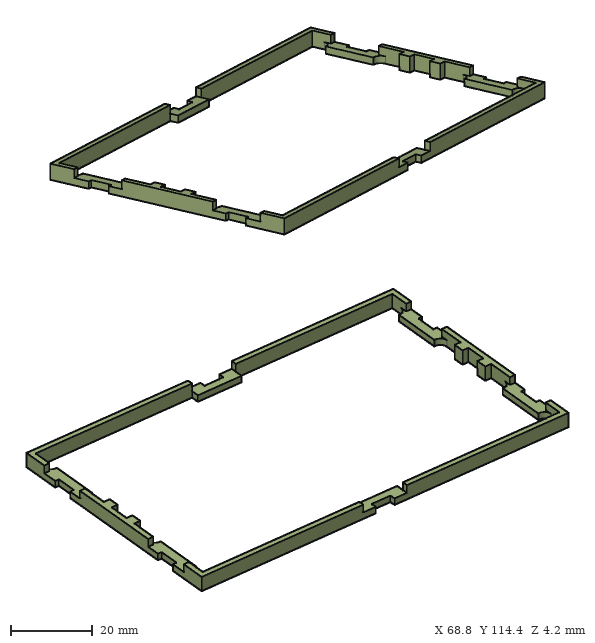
import cadquery as cq

length_x = 68.8
length_y = 114.4
height = 4.2
wall = 1.6

tab_height = 2.0
tab_depth = 3.9
end_tab_width = 14.0
end_tab_offset = 20.4
side_tab_width = 13.6

notch_width = 5.8
end_notch_depth = 1.1
end_notch_offset = 20.1
side_notch_depth = wall

peg_width = 3.1
peg_depth = 3.4
peg_offset = 4.5

fillet_radius = 2.0


def block(x_center, width, y_outer, depth, block_height, z_bottom=0.0):
    """Box centred on x_center that reaches toward +Y from y_outer."""
    return (
        cq.Workplane("XY", origin=(x_center, y_outer + depth / 2, z_bottom))
        .box(width, depth, block_height, centered=(True, True, False))
    )


def corner_fillet(x_corner, y_corner, direction):
    """Concave fillet in the corner of a tab side and the wall; direction points away from the tab."""
    return (
        cq.Workplane("XY")
        .moveTo(x_corner, y_corner)
        .lineTo(x_corner + direction * fillet_radius, y_corner)
        .radiusArc((x_corner, y_corner + fillet_radius), direction * fillet_radius)
        .close()
        .extrude(tab_height)
    )


def add_tab(frame, tab_center, tab_width, notch_center, notch_depth, y_outer):
    """Lower the wall to tab height, add the tab and notch its outer face."""
    frame = frame.cut(block(tab_center, tab_width, y_outer, wall, height - tab_height, tab_height))
    frame = frame.union(block(tab_center, tab_width, y_outer, tab_depth, tab_height))
    return frame.cut(block(notch_center, notch_width, y_outer, notch_depth, tab_height))


def add_front_end(frame):
    """Tabs, fillets and pegs of the end wall on the -Y side."""
    y_outer = -length_y / 2
    y_inner = y_outer + wall
    for side in (-1, 1):
        tab_center = side * end_tab_offset
        frame = add_tab(
            frame, tab_center, end_tab_width, side * end_notch_offset, end_notch_depth, y_outer
        )
        for direction in (-1, 1):
            tab_edge = tab_center + direction * end_tab_width / 2
            frame = frame.union(corner_fillet(tab_edge, y_inner, direction))
        frame = frame.union(block(side * peg_offset, peg_width, y_outer, peg_depth, height))
    return frame


def add_side(frame):
    """Centre tab of a long wall, made with that wall turned to the -Y side."""
    return add_tab(frame, 0, side_tab_width, 0, side_notch_depth, -length_x / 2)


def rotated(frame, angle):
    """Turn the frame about its vertical centre axis."""
    return frame.rotate((0, 0, 0), (0, 0, 1), angle)


frame = (
    cq.Workplane("XY")
    .rect(length_x, length_y)
    .rect(length_x - 2 * wall, length_y - 2 * wall)
    .extrude(height)
)

for _ in range(2):
    frame = rotated(add_front_end(frame), 180)

frame = rotated(frame, 90)
for _ in range(2):
    frame = rotated(add_side(frame), 180)

result = rotated(frame, -90)